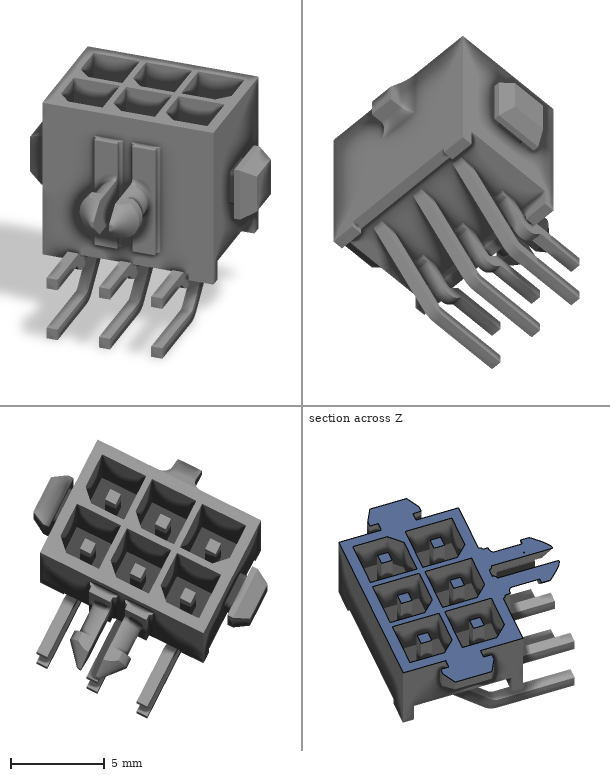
import cadquery as cq
import math


BODY_X, BODY_Y, BODY_Z = 9.82, 6.89, 9.22
FRONT_Y, BACK_Y = -BODY_Y / 2, BODY_Y / 2
MID_Z = BODY_Z / 2
FLOOR_Z = 1.13
FOOT_THICKNESS = 0.65
NOTCH_X, NOTCH_Z = 6.94, 0.38

PITCH = 3.0
COLUMNS = (-1, 0, 1)
CAVITY_SIZE = 2.65
CAVITY_DEPTH = 7.15
CAVITY_CHAMFER = 0.69

PIN_SIZE = 0.64
PIN_TOP_Z = 6.24
LEAD_REACH = 3.56
LEAD_TIP_Y = FRONT_Y - LEAD_REACH
LEAD_ROW_PITCH = 3.03
LEAD_START_Z = 1.56
REAR_POST_END_Z, FRONT_POST_END_Z = 0.95, 0.79
FRONT_LEAD_Z = PIN_SIZE / 2
REAR_LEAD_Z = FRONT_LEAD_Z - LEAD_ROW_PITCH
REAR_BEND_Y, REAR_BEND_RADIUS = -2.29, 0.78
DIP_Y, DIP_Z, DIP_RADIUS = -3.16, -0.44, 0.43

STUD_TIP_X = 6.5
STUD_HEAD_X = 5.35
STUD_TAPER_X = 5.7
STUD_HEAD_SIZE, STUD_TIP_SIZE = 2.98, 2.12
STUD_NECK_SIZE, STUD_NECK_RADIUS = 2.02, 0.26

LATCH_X, LATCH_Y = 1.44, 1.27
LATCH_SLOPE_DROP, LATCH_HEIGHT = 1.8, 2.94
LATCH_BOTTOM_Z = BODY_Z - LATCH_HEIGHT
LATCH_FILLET = 0.58

SPLIT_HALF = 0.44
RIB_OUTER_X, RIB_DEPTH, RIB_HEIGHT = 1.73, 0.5, 6.36
RIB_INNER_FILLET, RIB_OUTER_FILLET = 0.21, 0.17
PEG_DIAMETER = 2.02
PEG_RADIUS = PEG_DIAMETER / 2
PEG_ROOT_FILLET = 0.23
PEG_HEAD_RADIUS, PEG_TIP_RADIUS = 1.26, 0.22
PEG_HEAD_START, PEG_TAPER_START, PEG_LENGTH = 2.28, 2.81, 4.02
PEG_TIP_ROUNDING = 0.15

OVERLAP = 0.13


def block(x_range, y_range, z_range):
    """Box spanning the given (low, high) ranges."""
    lows, highs = zip(x_range, y_range, z_range)
    size = [high - low for low, high in zip(lows, highs)]
    return cq.Workplane("XY").box(*size, centered=False).translate(lows)


def make_housing():
    """Solid body with front and back feet, both notched between the corners."""
    body = block((-BODY_X / 2, BODY_X / 2), (FRONT_Y, BACK_Y), (0, BODY_Z))
    channel = block(
        (-BODY_X / 2, BODY_X / 2), (FRONT_Y + FOOT_THICKNESS, BACK_Y - FOOT_THICKNESS), (0, FLOOR_Z)
    )
    notch = block((-NOTCH_X / 2, NOTCH_X / 2), (FRONT_Y, BACK_Y), (0, NOTCH_Z))
    return body.cut(channel).cut(notch)


def make_cavity(column, row_y, chamfer_side):
    """Square pocket with one front corner cut off, at -X or +X by chamfer_side."""
    half = CAVITY_SIZE / 2
    inset = half - CAVITY_CHAMFER
    cut_x = chamfer_side * half
    outline = [
        (cut_x, half),
        (cut_x, -inset),
        (chamfer_side * inset, -half),
        (-cut_x, -half),
        (-cut_x, half),
    ]
    return (
        cq.Workplane("XY", origin=(column * PITCH, row_y, BODY_Z - CAVITY_DEPTH))
        .polyline(outline)
        .close()
        .extrude(CAVITY_DEPTH)
    )


def make_post(column, row_y, end_z):
    """Upright contact standing in a cavity."""
    half = PIN_SIZE / 2
    x = column * PITCH
    return block((x - half, x + half), (row_y - half, row_y + half), (end_z, PIN_TOP_Z))


def sweep_lead(column, start, path):
    """Square wire along a path drawn in the YZ plane, starting on a 45 degree slope."""
    x = column * PITCH
    start_plane = cq.Plane(origin=(x, *start), xDir=(1, 0, 0), normal=(0, -1, -1))
    return (
        cq.Workplane(start_plane)
        .rect(PIN_SIZE, PIN_SIZE)
        .sweep(path.translate((x, 0, 0)), transition="right")
    )


def make_rear_lead(column):
    """Slopes down at 45 degrees, then bends level."""
    half_bend = math.radians(45 / 2)
    setback = REAR_BEND_RADIUS * math.tan(half_bend)
    diagonal = setback * math.sqrt(0.5)
    start = (REAR_BEND_Y + LEAD_START_Z - REAR_LEAD_Z, LEAD_START_Z)
    path = (
        cq.Workplane("YZ")
        .moveTo(*start)
        .lineTo(REAR_BEND_Y + diagonal, REAR_LEAD_Z + diagonal)
        .tangentArcPoint((REAR_BEND_Y - setback, REAR_LEAD_Z), relative=False)
        .lineTo(LEAD_TIP_Y, REAR_LEAD_Z)
    )
    return sweep_lead(column, start, path)


def make_front_lead(column):
    """Slopes down at 45 degrees, dips under the front foot and rises to a level end."""
    diagonal = DIP_RADIUS * math.sqrt(0.5)
    rise = FRONT_LEAD_Z - DIP_Z
    start = (DIP_Y + LEAD_START_Z - DIP_Z, LEAD_START_Z)
    path = (
        cq.Workplane("YZ")
        .moveTo(*start)
        .lineTo(DIP_Y + diagonal, DIP_Z + diagonal)
        .tangentArcPoint((DIP_Y - diagonal, DIP_Z + diagonal), relative=False)
        .lineTo(DIP_Y - rise, FRONT_LEAD_Z)
        .lineTo(LEAD_TIP_Y, FRONT_LEAD_Z)
    )
    return sweep_lead(column, start, path)


def make_stud():
    """Square-headed stud on the +X side."""
    neck_start = BODY_X / 2 - OVERLAP
    neck = (
        cq.Workplane("YZ", origin=(neck_start, 0, MID_Z))
        .rect(STUD_NECK_SIZE, STUD_NECK_SIZE)
        .extrude(STUD_HEAD_X - neck_start)
        .edges("|X")
        .fillet(STUD_NECK_RADIUS)
    )
    head = (
        cq.Workplane("YZ", origin=(STUD_HEAD_X, 0, MID_Z))
        .rect(STUD_HEAD_SIZE, STUD_HEAD_SIZE)
        .extrude(STUD_TAPER_X - STUD_HEAD_X)
    )
    taper = (
        cq.Workplane("YZ", origin=(STUD_TAPER_X, 0, MID_Z))
        .rect(STUD_HEAD_SIZE, STUD_HEAD_SIZE)
        .workplane(offset=STUD_TIP_X - STUD_TAPER_X)
        .rect(STUD_TIP_SIZE, STUD_TIP_SIZE)
        .loft(ruled=True)
    )
    return neck.union(head).union(taper)


def make_latch():
    """Ramp on the back wall, flared into the wall at its sides and bottom."""
    half = LATCH_X / 2
    inner_y = BACK_Y - OVERLAP
    tip_y = BACK_Y + LATCH_Y
    flare = half + LATCH_FILLET
    flare_y = BACK_Y + LATCH_FILLET
    foot_z = LATCH_BOTTOM_Z - LATCH_FILLET
    plan = (
        cq.Workplane("XY")
        .moveTo(-flare, inner_y)
        .lineTo(-flare, BACK_Y)
        .radiusArc((-half, flare_y), -LATCH_FILLET)
        .lineTo(-half, tip_y)
        .lineTo(half, tip_y)
        .lineTo(half, flare_y)
        .radiusArc((flare, BACK_Y), -LATCH_FILLET)
        .lineTo(flare, inner_y)
        .close()
        .extrude(BODY_Z)
    )
    profile = (
        cq.Workplane("YZ")
        .moveTo(inner_y, BODY_Z)
        .lineTo(BACK_Y, BODY_Z)
        .lineTo(tip_y, BODY_Z - LATCH_SLOPE_DROP)
        .lineTo(tip_y, LATCH_BOTTOM_Z)
        .lineTo(flare_y, LATCH_BOTTOM_Z)
        .radiusArc((BACK_Y, foot_z), -LATCH_FILLET)
        .lineTo(inner_y, foot_z)
        .close()
        .extrude(flare, both=True)
    )
    return plan.intersect(profile)


def make_rib():
    """Upright rib on the +X side of the split, with concave fillets at its root."""
    face_y = FRONT_Y - RIB_DEPTH
    root_y = FRONT_Y + OVERLAP
    inner_root = SPLIT_HALF - RIB_INNER_FILLET
    outer_root = RIB_OUTER_X + RIB_OUTER_FILLET
    return (
        cq.Workplane("XY", origin=(0, 0, MID_Z - RIB_HEIGHT / 2))
        .moveTo(SPLIT_HALF, face_y)
        .lineTo(RIB_OUTER_X, face_y)
        .lineTo(RIB_OUTER_X, FRONT_Y - RIB_OUTER_FILLET)
        .radiusArc((outer_root, FRONT_Y), -RIB_OUTER_FILLET)
        .lineTo(outer_root, root_y)
        .lineTo(inner_root, root_y)
        .lineTo(inner_root, FRONT_Y)
        .radiusArc((SPLIT_HALF, FRONT_Y - RIB_INNER_FILLET), -RIB_INNER_FILLET)
        .close()
        .extrude(RIB_HEIGHT)
    )


def make_peg_half():
    """Half of the snap-in peg on the +X side, turned about an axis on its flat split face."""
    root_y = FRONT_Y - RIB_DEPTH

    def turned(sketch):
        return sketch.close().revolve(360, (0, 0, 0), (0, 1, 0))

    def plane():
        return cq.Workplane("XY", origin=(SPLIT_HALF, 0, MID_Z))

    shaft = turned(
        plane()
        .moveTo(0, root_y + OVERLAP)
        .lineTo(PEG_RADIUS + PEG_ROOT_FILLET, root_y + OVERLAP)
        .lineTo(PEG_RADIUS + PEG_ROOT_FILLET, root_y)
        .radiusArc((PEG_RADIUS, root_y - PEG_ROOT_FILLET), -PEG_ROOT_FILLET)
        .lineTo(PEG_RADIUS, FRONT_Y - PEG_HEAD_START)
        .lineTo(0, FRONT_Y - PEG_HEAD_START)
    )
    head = turned(
        plane()
        .moveTo(0, FRONT_Y - PEG_HEAD_START)
        .lineTo(PEG_HEAD_RADIUS, FRONT_Y - PEG_HEAD_START)
        .lineTo(PEG_HEAD_RADIUS, FRONT_Y - PEG_TAPER_START)
        .lineTo(PEG_TIP_RADIUS, FRONT_Y - PEG_LENGTH)
        .lineTo(0, FRONT_Y - PEG_LENGTH)
    )
    head = head.faces("<Y").edges("%CIRCLE").fillet(PEG_TIP_ROUNDING)
    reach = PEG_HEAD_RADIUS + PEG_ROOT_FILLET
    length_range = (FRONT_Y - PEG_LENGTH, FRONT_Y)
    head_flats = block(
        (SPLIT_HALF - reach, SPLIT_HALF + reach), length_range, (MID_Z - PEG_RADIUS, MID_Z + PEG_RADIUS)
    )
    outer_side = block((SPLIT_HALF, SPLIT_HALF + reach), length_range, (MID_Z - reach, MID_Z + reach))
    return shaft.union(head.intersect(head_flats)).intersect(outer_side)


result = make_housing()

for column in COLUMNS:
    result = result.cut(make_cavity(column, -PITCH / 2, -1))
    rear_chamfer_side = 1 if column == COLUMNS[-1] else -1
    result = result.cut(make_cavity(column, PITCH / 2, rear_chamfer_side))

for column in COLUMNS:
    result = result.union(make_post(column, PITCH / 2, REAR_POST_END_Z))
    result = result.union(make_post(column, -PITCH / 2, FRONT_POST_END_Z))
    result = result.union(make_rear_lead(column))
    result = result.union(make_front_lead(column))

result = result.union(make_latch())

for feature in (make_stud(), make_rib(), make_peg_half()):
    result = result.union(feature).union(feature.mirror("YZ"))